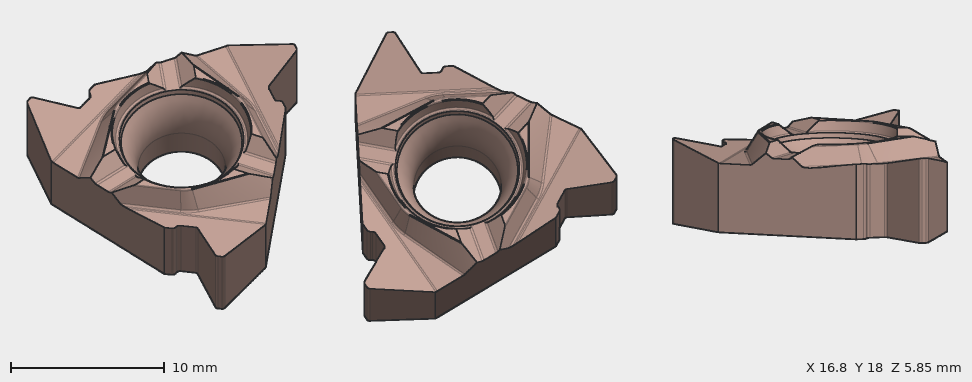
import cadquery as cq
import math

ARM_COUNT = 3
ARM_ANGLES = [360 / ARM_COUNT * i for i in range(ARM_COUNT)]

total_height = 5.85
floor_height = 4.57
seat_height = 5.07

side_distance = 6.35
flank_start_y = 5.81
tip_y = 9.59
tip_center_x = -3.85
tip_width = 0.5
tip_radius = 0.22
notch_y = 6.89
notch_start_x = -1.98
notch_end_x = -0.74
notch_radius = 0.18
shoulder_y = 7.27
step_angle = 60.0
step_radius = 0.27

valley_y = 5.72
tooth_rise_angle = 15.0
valley_radius = 0.45

hub_base_distance = 5.47
hub_base_bend_x = -1.28
hub_base_angle = 20.4
hub_base_bend_radius = 3.24
hub_top_distance = 4.73
hub_top_bend_x = -0.97
hub_top_angle = 27.0
hub_top_bend_radius = 1.62
hub_foot_radius = 0.18
hub_rim_radius = 0.07

groove_angle = 166.0
groove_floor_width = 1.06
groove_foot_radius = 0.27
groove_top_width = 3.1

hole_radius = 5.7 / 2
seat_arc_radius = 3.95
countersink_radius = 3.94
countersink_top = 4.75
ledge_inner_radius = 4.05
recess_foot_radius = 4.26
recess_foot_fillet = 0.15
recess_rim_radius = 4.53

plate_radius = 16.19
height_tolerance = 0.02
reach = 10.8


def rotated(point, degrees):
    """Turn a plan point about the hole axis."""
    c = math.cos(math.radians(degrees))
    s = math.sin(math.radians(degrees))
    x, y = point
    return (x * c - y * s, x * s + y * c)


def around(solid):
    """Join copies of a solid, one per arm."""
    joined = solid
    for angle in ARM_ANGLES[1:]:
        joined = joined.union(solid.rotate((0, 0, 0), (0, 0, 1), angle))
    return joined


def outline_prism():
    flank_start = (-side_distance, flank_start_y)
    tip_left = (tip_center_x - tip_width / 2, tip_y)
    tip_right = (tip_center_x + tip_width / 2, tip_y)
    notch_start = (notch_start_x, notch_y)
    notch_end = (notch_end_x, notch_y)
    step_run = (shoulder_y - notch_y) / math.tan(math.radians(step_angle))
    step_corner = (notch_end_x + step_run, shoulder_y)
    shoulder_end_x = (side_distance - shoulder_y * math.sin(math.pi / 3)) / math.cos(math.pi / 3)
    shoulder_end = (shoulder_end_x, shoulder_y)
    arm = [flank_start, tip_left, tip_right, notch_start, notch_end, step_corner, shoulder_end]

    points = [rotated(p, -angle) for angle in ARM_ANGLES for p in arm]
    prism = cq.Workplane("XY").polyline(points).close().extrude(total_height)

    rounded_corners = [
        (tip_radius, [tip_left, tip_right]),
        (notch_radius, [notch_start]),
        (step_radius, [notch_end, step_corner]),
    ]
    for radius, corners in rounded_corners:
        for corner in corners:
            for angle in ARM_ANGLES:
                x, y = rotated(corner, angle)
                nearest = cq.selectors.NearestToPointSelector((x, y, total_height / 2))
                prism = prism.edges("|Z").edges(nearest).fillet(radius)
    return prism


def hub_wire(height, distance, bend_x, slant_angle, bend_radius):
    """Closed hub outline: straight wall, bend arc and slanted wall for every arm."""
    slant = math.radians(slant_angle)
    setback = bend_radius * math.tan(slant / 2)
    arc_start = (bend_x + setback, distance)
    arc_end = (bend_x - setback * math.cos(slant), distance - setback * math.sin(slant))
    arc_mid = (
        arc_start[0] - bend_radius * math.sin(slant / 2),
        distance - bend_radius * (1 - math.cos(slant / 2)),
    )
    normal = math.pi / 2 + slant
    next_normal = math.radians(90 + ARM_ANGLES[1])
    slant_distance = bend_x * math.cos(normal) + distance * math.sin(normal)
    span = math.sin(next_normal - normal)
    corner = (
        (slant_distance * math.sin(next_normal) - distance * math.sin(normal)) / span,
        (distance * math.cos(normal) - slant_distance * math.cos(next_normal)) / span,
    )
    outline = cq.Workplane("XY", origin=(0, 0, height)).moveTo(*rotated(corner, ARM_ANGLES[-1]))
    for angle in ARM_ANGLES:
        outline = outline.lineTo(*rotated(arc_start, angle))
        outline = outline.threePointArc(rotated(arc_mid, angle), rotated(arc_end, angle))
        outline = outline.lineTo(*rotated(corner, angle))
    return outline.wire().val()


def hub():
    base = hub_wire(floor_height, hub_base_distance, hub_base_bend_x, hub_base_angle, hub_base_bend_radius)
    top = hub_wire(total_height, hub_top_distance, hub_top_bend_x, hub_top_angle, hub_top_bend_radius)
    return cq.Workplane(cq.Solid.makeLoft([base, top], True))


def tooth_wedge():
    rise = math.radians(tooth_rise_angle)
    setback = valley_radius * math.tan(rise / 2)
    valley_start = (valley_y - setback, floor_height)
    valley_mid = (
        valley_start[0] + valley_radius * math.sin(rise / 2),
        floor_height + valley_radius * (1 - math.cos(rise / 2)),
    )
    valley_end = (valley_y + setback * math.cos(rise), floor_height + setback * math.sin(rise))
    outer_height = floor_height + (reach - valley_y) * math.tan(rise)
    return (
        cq.Workplane("YZ")
        .moveTo(valley_start[0], 0)
        .lineTo(*valley_start)
        .threePointArc(valley_mid, valley_end)
        .lineTo(reach, outer_height)
        .lineTo(reach, 0)
        .close()
        .extrude(reach, both=True)
    )


def groove():
    depth = total_height - seat_height
    profile = [
        (-groove_floor_width / 2, seat_height),
        (groove_floor_width / 2, seat_height),
        (groove_top_width / 2, seat_height + depth),
        (-groove_top_width / 2, seat_height + depth),
    ]
    cutter = cq.Workplane("YZ").polyline(profile).close().extrude(reach)
    cutter = cutter.edges("<Z and |X").fillet(groove_foot_radius)
    return cutter.rotate((0, 0, 0), (0, 0, 1), groove_angle)


def screw_hole():
    flare = math.acos(1 - (countersink_radius - hole_radius) / seat_arc_radius)
    arc_bottom = countersink_top - seat_arc_radius * math.sin(flare)
    arc_mid = (
        hole_radius + seat_arc_radius * (1 - math.cos(flare / 2)),
        arc_bottom + seat_arc_radius * math.sin(flare / 2),
    )
    cutter = (
        cq.Workplane("XZ")
        .lineTo(hole_radius, 0)
        .lineTo(hole_radius, arc_bottom)
        .threePointArc(arc_mid, (countersink_radius, countersink_top))
        .lineTo(ledge_inner_radius, seat_height)
        .lineTo(recess_foot_radius, seat_height)
        .lineTo(recess_rim_radius, total_height)
        .lineTo(0, total_height)
        .close()
        .revolve(360, (0, 0, 0), (0, 1, 0))
    )
    at_seat_height = cq.selectors.NearestToPointSelector((0, 0, seat_height))
    ledge = cutter.faces("|Z").faces(at_seat_height)
    return ledge.edges(cq.selectors.RadiusNthSelector(-1)).fillet(recess_foot_fillet)


def top_form():
    """Solid whose upper side is the floor, the hub with blended edges and the tooth tops."""
    plate = cq.Workplane("XY").circle(plate_radius).extrude(floor_height)
    form = plate.union(hub())
    hub_foot = cq.selectors.BoxSelector(
        (-reach, -reach, floor_height - height_tolerance),
        (reach, reach, floor_height + height_tolerance),
    )
    plate_rim = cq.selectors.RadiusNthSelector(-1)
    form = form.edges(hub_foot - plate_rim).fillet(hub_foot_radius)
    form = form.faces(">Z").edges().fillet(hub_rim_radius)
    return form.union(around(tooth_wedge()))


insert = outline_prism().intersect(top_form(), clean=False)
insert = insert.cut(screw_hole(), clean=False)
insert = insert.faces(">Z").edges(cq.selectors.RadiusNthSelector(-1)).fillet(hub_rim_radius)
insert = insert.cut(around(groove()), clean=False)
result = insert.clean()